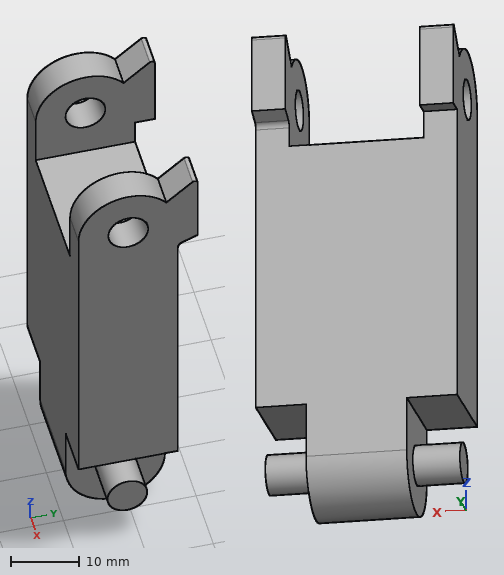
import math

import cadquery as cq


link_width = 30.0
link_depth = 15.0
end_radius = link_depth / 2
pivot_spacing = 56.0
pivot_gap = 8.0

ear_gap = 20.0
ear_width = (link_width - ear_gap) / 2
tongue_width = 15.0
pivot_diameter = 6.0
pin_length = 29.0

hook_reach = 3.0
hook_back = end_radius + hook_reach
hook_top = 64.24
hook_tip_radius = 0.5
hook_slope = math.radians(40.0)
hook_bottom = pivot_spacing - 4.0

sloped_bottom_back = hook_bottom + 0.75
sloped_bottom_angle = math.radians(22.0)
sloped_bottom_fillet = 1.0


def round_ended_plate(pivot_z, shoulder_z, width):
    """Plate centred on X = 0, rounded about a pivot axis and square at the shoulder."""
    away = math.copysign(end_radius, pivot_z - shoulder_z)
    return (
        cq.Workplane("YZ")
        .moveTo(-end_radius, shoulder_z)
        .lineTo(-end_radius, pivot_z)
        .threePointArc((0, pivot_z + away), (end_radius, pivot_z))
        .lineTo(end_radius, shoulder_z)
        .close()
        .extrude(width / 2, both=True)
    )


def pivot_cylinder(pivot_z, length):
    """Cylinder along X about a pivot axis, centred on X = 0."""
    return (
        cq.Workplane("YZ")
        .center(0, pivot_z)
        .circle(pivot_diameter / 2)
        .extrude(length / 2, both=True)
    )


def make_ear_gap():
    """Open slot between the two ears."""
    gap_bottom = pivot_spacing - pivot_gap
    gap_height = pivot_gap + end_radius
    return (
        cq.Workplane("XY", origin=(0, 0, gap_bottom))
        .rect(ear_gap, link_depth)
        .extrude(gap_height)
    )


def make_hook(start_x, bottom_body_z, bottom_back_z):
    """Hook one ear wide; its underside runs from the body to the hook's back face."""
    tip_y = hook_back - hook_tip_radius
    tip_z = hook_top - hook_tip_radius
    slope_start_y = tip_y - hook_tip_radius * math.sin(hook_slope)
    slope_start_z = tip_z + hook_tip_radius * math.cos(hook_slope)
    arc_mid_angle = (math.pi / 2 + hook_slope) / 2
    arc_mid_y = tip_y + hook_tip_radius * math.cos(arc_mid_angle)
    arc_mid_z = tip_z + hook_tip_radius * math.sin(arc_mid_angle)
    inner_y = end_radius / 2
    slope_end_z = slope_start_z - (slope_start_y - inner_y) * math.tan(hook_slope)
    return (
        cq.Workplane("YZ", origin=(start_x, 0, 0))
        .moveTo(inner_y, bottom_body_z)
        .lineTo(end_radius, bottom_body_z)
        .lineTo(hook_back, bottom_back_z)
        .lineTo(hook_back, tip_z)
        .threePointArc((arc_mid_y, arc_mid_z), (slope_start_y, slope_start_z))
        .lineTo(inner_y, slope_end_z)
        .close()
        .extrude(ear_width)
    )


def make_fillet_strip(start_x, corner_z):
    """Strip that fillets the corner between the body and the sloped hook underside."""
    corner_half_angle = (math.pi / 2 + sloped_bottom_angle) / 2
    tangent_length = sloped_bottom_fillet / math.tan(corner_half_angle)
    center_y = end_radius + sloped_bottom_fillet
    center_z = corner_z - tangent_length
    corner_to_center = math.hypot(sloped_bottom_fillet, tangent_length)
    mid_fraction = sloped_bottom_fillet / corner_to_center
    arc_mid_y = center_y + (end_radius - center_y) * mid_fraction
    arc_mid_z = center_z + (corner_z - center_z) * mid_fraction
    arc_end_y = end_radius + tangent_length * math.cos(sloped_bottom_angle)
    arc_end_z = corner_z + tangent_length * math.sin(sloped_bottom_angle)
    return (
        cq.Workplane("YZ", origin=(start_x, 0, 0))
        .moveTo(end_radius, corner_z)
        .lineTo(end_radius, center_z)
        .threePointArc((arc_mid_y, arc_mid_z), (arc_end_y, arc_end_z))
        .close()
        .extrude(ear_width)
    )


body = round_ended_plate(pivot_spacing, pivot_gap, link_width).cut(make_ear_gap())

flat_hook = make_hook(-link_width / 2, hook_bottom, hook_bottom)

sloped_bottom_body = sloped_bottom_back - hook_reach * math.tan(sloped_bottom_angle)
sloped_hook = make_hook(ear_gap / 2, sloped_bottom_body, sloped_bottom_back)
sloped_hook_fillet = make_fillet_strip(ear_gap / 2, sloped_bottom_body)

tongue = round_ended_plate(0, pivot_gap, tongue_width)
pin = pivot_cylinder(0, pin_length)
ear_holes = pivot_cylinder(pivot_spacing, link_width)

result = (
    body.union(flat_hook)
    .union(sloped_hook)
    .union(sloped_hook_fillet)
    .cut(ear_holes)
    .union(tongue)
    .union(pin)
    .clean()
)